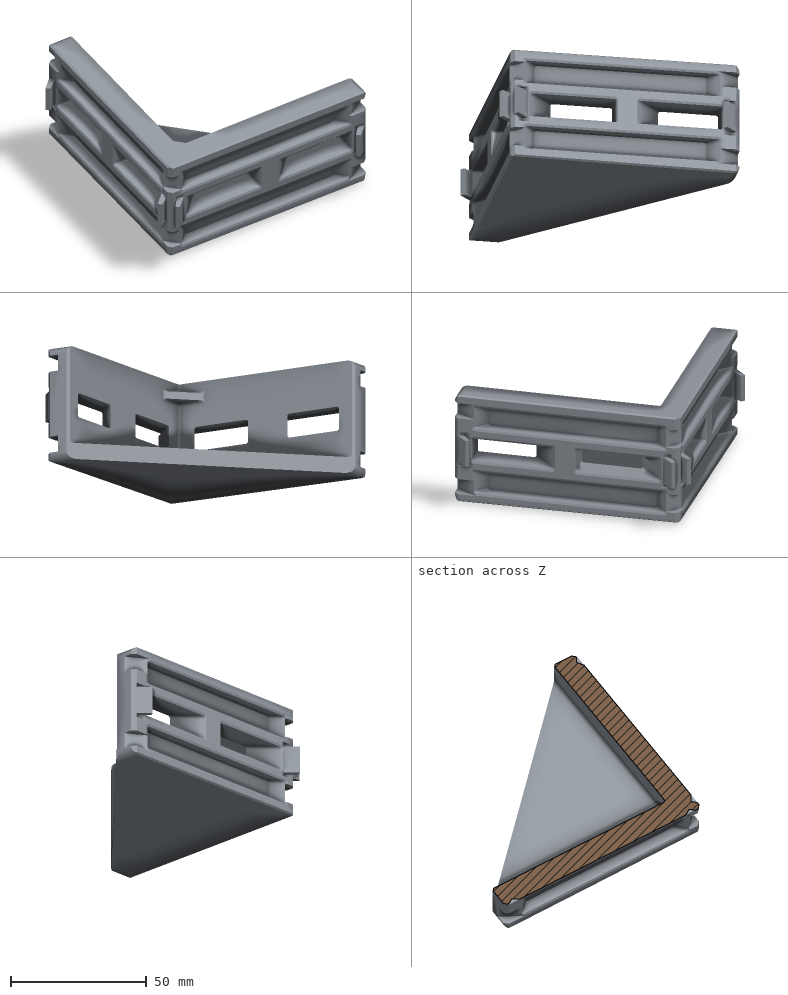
import cadquery as cq
import math


leg_length = 86.0
width = 43.0
half_width = width / 2
wall = 9.65
web_thickness = 6.1
tip_wall = 8.75
tip_chamfer = 1.55
corner_chamfer = 1.5
tip_round = 2.9
rim_chamfer_face = 0.8
rim_chamfer_depth = 0.5
inner_fillet = 0.95
floor_rise = 1.0
bottom_rise = 0.7

gusset_reach = 11.1
gusset_bottom = 14.1
gusset_thickness = 2.8
gusset_fillet = 1.1

slot_spans = [(-79.4, -57.0), (-39.7, -16.5)]
slot_height = 9.1
slot_start_flare = 0.4

pocket_start = -79.0
pocket_end = -4.75
pocket_depth = 4.8
pocket_bottom = 8.55
pocket_top = 17.4
pocket_end_flare = 0.35

opening_corner = 0.8
mouth_corner = 1.2
flare_width = 0.8
flare_depth = 0.4

corner_relief = 5.6
corner_relief_bottom = 9.4
corner_relief_top = 16.7
tip_relief_depth = 5.05
tip_relief_length = 8.4
tip_relief_bottom = 12.3
tip_relief_top = 18.35

hook_reach = 3.98
hook_root_width = 3.0
hook_thickness = 1.75
hook_width = 10.4
hook_pitch = 78.5
hook_root = hook_pitch - leg_length + tip_chamfer
notch_width = 13.7
notch_spans = [(-84.9, -82.4, -79.8), (-6.9, -4.4, -2.8)]
notch_depth = 1.6

clearance = 5.0


def prism(points, z_low, z_high):
    """Extrude an outline in the XY plane between two heights."""
    return cq.Workplane("XY", origin=(0, 0, z_low)).polyline(points).close().extrude(z_high - z_low)


def on_other_leg(shape):
    """Mirror a feature of the X leg in the plane x + y = 0."""
    return shape.rotate((0, 0, 0), (0, 0, 1), 90).mirror("XZ")


def mirrored_in_width(shape):
    """Add the shape's mirror image below z = 0."""
    return shape.union(shape.mirror("XY"))


def make_block():
    """Solid triangular block with chamfered tips and rounded tip edges."""
    outline = [
        (-leg_length, tip_chamfer),
        (-leg_length + tip_chamfer, 0),
        (-corner_chamfer, 0),
        (0, corner_chamfer),
        (0, leg_length - tip_chamfer),
        (-tip_chamfer, leg_length),
        (-tip_wall, leg_length),
        (-leg_length, tip_wall),
    ]
    block = prism(outline, -half_width, half_width)
    block = block.faces("<X").edges("|Y").fillet(tip_round)
    return block.faces(">Y").edges("|X").fillet(tip_round)


def make_ramp(base, rise):
    """Wedge that climbs from the sloping side of the bracket towards its outer corner."""
    run = (leg_length + tip_wall) / math.sqrt(2)
    across = cq.Plane(origin=(0, 0, base), xDir=(1, -1, 0), normal=(-1, -1, 0))
    section = [(-run, -clearance), (0, -clearance), (0, rise), (-run, 0)]
    return cq.Workplane(across).polyline(section).close().extrude(leg_length, both=True)


def make_cavity():
    """Space between the legs, with the gusset left standing in its corner."""
    web_top = -half_width + web_thickness
    reach = leg_length + clearance
    cavity = prism(
        [(-wall, wall), (-wall, wall + reach), (-wall - reach, wall)],
        web_top,
        half_width + clearance,
    )
    cavity = cavity.cut(make_ramp(web_top, floor_rise))
    cavity = cavity.edges("|Z").edges(">(1, -1, 0)").fillet(inner_fillet)
    cavity = cavity.faces("<Z").edges().fillet(inner_fillet)
    cavity = cavity.cut(make_gusset())
    return cavity.edges("|X").edges("<Y").edges("not >Z").fillet(gusset_fillet)


def make_gusset():
    """Triangular rib across the inner corner."""
    tip = wall + gusset_reach
    return prism(
        [(0, 0), (0, tip), (-wall, tip), (-tip, wall), (-tip, 0)],
        gusset_bottom,
        gusset_bottom + gusset_thickness,
    )


def make_rim_cuts():
    """Bars that chamfer the two long edges of the X leg; the lower one follows the rising bottom."""
    section = [
        (-clearance, half_width + clearance),
        (-clearance, half_width - rim_chamfer_depth),
        (0, half_width - rim_chamfer_depth),
        (rim_chamfer_face, half_width),
        (rim_chamfer_face, half_width + clearance),
    ]
    bar = cq.Workplane("YZ", origin=(clearance, 0, 0)).polyline(section).close()
    upper_bar = bar.extrude(-leg_length - 2 * clearance)
    run = leg_length + tip_wall
    tilt = math.degrees(math.atan2(bottom_rise, run))
    lower_bar = upper_bar.mirror("XY").rotate((-run, 0, -half_width), (-run, 1, -half_width), -tilt)
    return upper_bar.union(lower_bar)


def make_flare(mouth_span, inner_span, z_low, z_high):
    """Widening of an opening in the outer face of the X leg, from the mouth inwards."""

    def outline(span, y, margin, radius):
        center = ((span[0] + span[1]) / 2, y, (z_low + z_high) / 2)
        plate = cq.Workplane("XZ", origin=center).rect(span[1] - span[0], z_high - z_low + 2 * margin)
        return plate.extrude(flare_depth).edges("|Y").fillet(radius).faces(">Y").wires().val()

    mouth = outline(mouth_span, 0, flare_width, mouth_corner)
    inner = outline(inner_span, flare_depth, 0, opening_corner)
    return cq.Workplane(cq.Solid.makeLoft([mouth, inner], True))


def make_slot(start, end):
    """Slot through the leg; its end nearest the corner slopes at 45 degrees."""
    mouth_end = end + wall
    z_top = slot_height / 2
    slot = prism([(start, 0), (mouth_end, 0), (end, wall), (start, wall)], -z_top, z_top)
    slot = slot.edges("not (|X or |Z)").fillet(opening_corner)
    mouth_span = (start - slot_start_flare, mouth_end)
    return slot.union(make_flare(mouth_span, (start, mouth_end - flare_depth), -z_top, z_top))


def make_pockets():
    """Shallow trays with sloping ends, one above and one below the slots."""
    pocket = prism(
        [
            (pocket_start, 0),
            (pocket_end, 0),
            (pocket_end - pocket_depth, pocket_depth),
            (pocket_start + pocket_depth, pocket_depth),
        ],
        pocket_bottom,
        pocket_top,
    )
    pocket = pocket.edges("not (|X or |Z)").fillet(opening_corner)
    mouth_span = (pocket_start - pocket_end_flare, pocket_end + pocket_end_flare)
    inner_span = (pocket_start + flare_depth, pocket_end - flare_depth)
    return mirrored_in_width(pocket.union(make_flare(mouth_span, inner_span, pocket_bottom, pocket_top)))


def make_tip_reliefs():
    """Sloping cuts that open the pockets towards the tip of the leg."""
    slope = tip_relief_depth / tip_relief_length
    relief = prism(
        [
            (-leg_length - clearance, tip_relief_depth + clearance * slope),
            (-leg_length + tip_relief_length, 0),
            (-leg_length - clearance, 0),
        ],
        tip_relief_bottom,
        tip_relief_top,
    )
    return mirrored_in_width(relief)


def make_corner_reliefs():
    """Cuts across the outer corner between the pockets of both legs."""
    relief = prism(
        [(-corner_relief, 0), (0, 0), (0, corner_relief)],
        corner_relief_bottom,
        corner_relief_top,
    )
    return mirrored_in_width(relief)


def make_notch(start, deepest, end):
    """V-shaped groove beside and under a hook."""
    return prism([(start, 0), (deepest, notch_depth), (end, 0)], -notch_width / 2, notch_width / 2)


def make_hook(shift):
    """Hook leaning 45 degrees towards the corner, rooted inside the leg."""
    root = hook_root - shift
    tip = (root + hook_reach, -hook_reach)
    tip_step = hook_thickness * math.sqrt(0.5)
    return prism(
        [
            (root, 0),
            tip,
            (tip[0] + tip_step, tip[1] + tip_step),
            (root + hook_root_width, 0),
            (root + hook_root_width - tip_chamfer, tip_chamfer),
            (root - tip_chamfer, tip_chamfer),
        ],
        -hook_width / 2,
        hook_width / 2,
    )


def cut_on_both_legs(body, cutter):
    """Cut the body with a tool of the X leg and with its mirror image."""
    return body.cut(cutter).cut(on_other_leg(cutter))


bracket = make_block().cut(make_cavity()).cut(make_ramp(-half_width, bottom_rise))
bracket = cut_on_both_legs(bracket, make_rim_cuts())
for slot_start, slot_end in slot_spans:
    bracket = cut_on_both_legs(bracket, make_slot(slot_start, slot_end))
bracket = cut_on_both_legs(bracket, make_pockets())
bracket = cut_on_both_legs(bracket, make_tip_reliefs())
bracket = bracket.cut(make_corner_reliefs())
for notch_span in notch_spans:
    bracket = cut_on_both_legs(bracket, make_notch(*notch_span))
for hook_shift in (0, hook_pitch):
    hook = make_hook(hook_shift)
    bracket = bracket.union(hook).union(on_other_leg(hook))

result = bracket